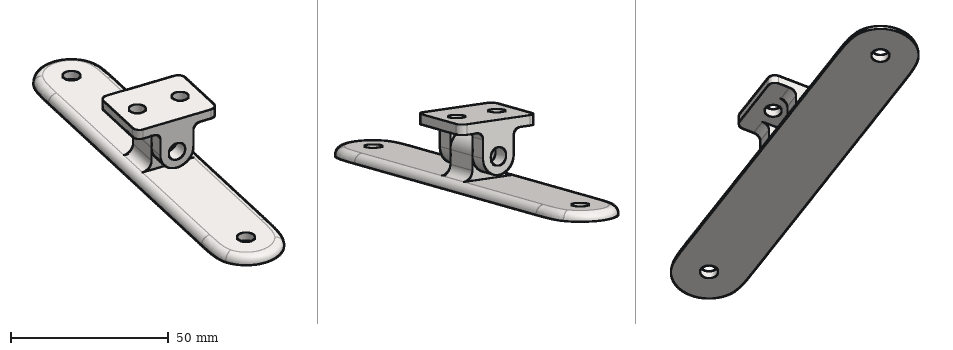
import cadquery as cq
import math

PLATE_LENGTH = 137.0
PLATE_WIDTH = 24.6
PLATE_THICKNESS = 3.08
RIM_RADIUS = 3.0
STRAIGHT_SIDE_LENGTH = 98.8
END_ARC_RADIUS = 12.1
END_ARC_HALF_ANGLE = math.radians(62)
SCREW_HOLE_DIAMETER = 5.7
SCREW_HOLE_SPACING = 112.6

KNUCKLE_RADIUS = 6.0
KNUCKLE_WIDTH = 12.0
PIVOT_HOLE_DIAMETER = 6.0
PIVOT_ABOVE_PLATE = 8.12

FLANGE_SIZE_X = 23.6
FLANGE_SIZE_Y = 29.6
FLANGE_THICKNESS = 3.4
FLANGE_CORNER_RADIUS = 2.5
FLANGE_ABOVE_PIVOT = 11.88
FLANGE_HOLE_DIAMETER = 5.4
FLANGE_HOLE_SPACING = 15.6
LUG_FILLET = 2.4

PLATE_HALF_WIDTH = PLATE_WIDTH / 2
KNUCKLE_FILLET = PLATE_HALF_WIDTH - RIM_RADIUS - KNUCKLE_RADIUS
PIVOT_Z = PLATE_THICKNESS + PIVOT_ABOVE_PLATE
FLANGE_TOP_Z = PIVOT_Z + FLANGE_ABOVE_PIVOT
FLANGE_BOTTOM_Z = FLANGE_TOP_Z - FLANGE_THICKNESS
LUG_THICKNESS = (FLANGE_SIZE_X - KNUCKLE_WIDTH) / 2


def pivot_hole():
    """Cylinder along X that clears the pivot hole through the whole hinge."""
    return (
        cq.Workplane("YZ")
        .center(0, PIVOT_Z)
        .circle(PIVOT_HOLE_DIAMETER / 2)
        .extrude(FLANGE_SIZE_X / 2, both=True)
    )


def knuckle():
    """Round-topped upright that flares into the plate with a concave fillet on each side."""
    foot_half_width = KNUCKLE_RADIUS + KNUCKLE_FILLET
    fillet_top_z = PLATE_THICKNESS + KNUCKLE_FILLET
    return (
        cq.Workplane("YZ")
        .moveTo(-foot_half_width, PLATE_THICKNESS)
        .radiusArc((-KNUCKLE_RADIUS, fillet_top_z), -KNUCKLE_FILLET)
        .lineTo(-KNUCKLE_RADIUS, PIVOT_Z)
        .threePointArc((0, PIVOT_Z + KNUCKLE_RADIUS), (KNUCKLE_RADIUS, PIVOT_Z))
        .lineTo(KNUCKLE_RADIUS, fillet_top_z)
        .radiusArc((foot_half_width, PLATE_THICKNESS), -KNUCKLE_FILLET)
        .close()
        .extrude(KNUCKLE_WIDTH / 2, both=True)
    )


def plate_outline():
    """Straight sides joined to the end arcs by smooth, tangent shoulder curves."""
    side_x = STRAIGHT_SIDE_LENGTH / 2
    end_x = PLATE_LENGTH / 2
    slope_x = math.sin(END_ARC_HALF_ANGLE)
    slope_y = math.cos(END_ARC_HALF_ANGLE)
    joint_x = end_x - END_ARC_RADIUS + END_ARC_RADIUS * slope_y
    joint_y = END_ARC_RADIUS * slope_x
    outline = cq.Workplane("XY").moveTo(-side_x, -PLATE_HALF_WIDTH)
    for side in (1, -1):
        outline = (
            outline.lineTo(side * side_x, -side * PLATE_HALF_WIDTH)
            .spline(
                [(side * joint_x, -side * joint_y)],
                tangents=[(side, 0), (side * slope_x, side * slope_y)],
                includeCurrent=True,
            )
            .threePointArc((side * end_x, 0), (side * joint_x, side * joint_y))
            .spline(
                [(side * side_x, side * PLATE_HALF_WIDTH)],
                tangents=[(-side * slope_x, side * slope_y), (-side, 0)],
                includeCurrent=True,
            )
        )
    return outline.close()


def make_base():
    """Mounting plate with two screw holes and the central hinge knuckle."""
    plate = (
        plate_outline()
        .extrude(PLATE_THICKNESS)
        .faces(">Z")
        .edges()
        .fillet(RIM_RADIUS)
    )
    screw_holes = (
        cq.Workplane("XY")
        .rarray(SCREW_HOLE_SPACING, 1, 2, 1)
        .circle(SCREW_HOLE_DIAMETER / 2)
        .extrude(PLATE_THICKNESS)
    )
    return plate.cut(screw_holes).union(knuckle()).cut(pivot_hole())


def lug(start_x):
    """Round-ended lug hanging from the flange, filleted into it on both sides."""
    root_half_width = KNUCKLE_RADIUS + LUG_FILLET
    fillet_bottom_z = FLANGE_BOTTOM_Z - LUG_FILLET
    return (
        cq.Workplane("YZ", origin=(start_x, 0, 0))
        .moveTo(-root_half_width, FLANGE_BOTTOM_Z)
        .radiusArc((-KNUCKLE_RADIUS, fillet_bottom_z), LUG_FILLET)
        .lineTo(-KNUCKLE_RADIUS, PIVOT_Z)
        .threePointArc((0, PIVOT_Z - KNUCKLE_RADIUS), (KNUCKLE_RADIUS, PIVOT_Z))
        .lineTo(KNUCKLE_RADIUS, fillet_bottom_z)
        .radiusArc((root_half_width, FLANGE_BOTTOM_Z), LUG_FILLET)
        .close()
        .extrude(LUG_THICKNESS)
    )


def make_bracket():
    """Flange with rounded corners and two holes, carried by one lug at each end of the knuckle."""
    bracket = (
        cq.Workplane("XY", origin=(0, 0, FLANGE_BOTTOM_Z))
        .rect(FLANGE_SIZE_X, FLANGE_SIZE_Y)
        .extrude(FLANGE_THICKNESS)
        .edges("|Z")
        .fillet(FLANGE_CORNER_RADIUS)
    )
    flange_holes = (
        cq.Workplane("XY", origin=(0, 0, FLANGE_BOTTOM_Z))
        .rarray(1, FLANGE_HOLE_SPACING, 1, 2)
        .circle(FLANGE_HOLE_DIAMETER / 2)
        .extrude(FLANGE_THICKNESS)
    )
    bracket = bracket.cut(flange_holes)
    for start_x in (-FLANGE_SIZE_X / 2, KNUCKLE_WIDTH / 2):
        bracket = bracket.union(lug(start_x))
    return bracket.cut(pivot_hole())


base = make_base()
bracket = make_bracket()
result = cq.Compound.makeCompound([base.val(), bracket.val()])